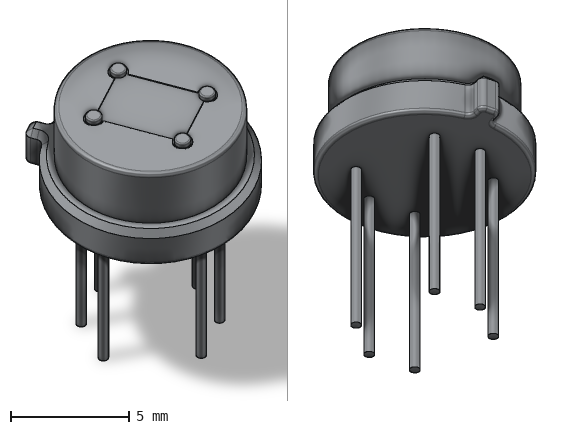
import cadquery as cq
import math

pin_length = 8.0
flange_height = 1.91
can_top = 12.8
overall_height = 13.0

flange_radius = 4.69
tab_reach = 5.51
tab_width = 1.01
tab_corner_radius = 0.305
tab_root_radius = 0.3
flange_chamfer = 0.3
flange_bottom_fillet = 0.2

can_radius = 4.07
can_fillet = 0.2

stud_radius = 0.35
stud_fillet = 0.06
window_length = 4.0
window_width = 2.99
window_depth = 0.05
ring_radius = 0.43

pin_radius = 0.228
pin_circle_radius = 2.92
pin_places = 8
empty_places = (2, 6)

flange_top = pin_length + flange_height


def make_flange():
    disc = cq.Workplane("XY").workplane(offset=pin_length).circle(flange_radius).extrude(flange_height)
    tab = (
        cq.Workplane("XY")
        .workplane(offset=pin_length)
        .rect(tab_reach, tab_width)
        .extrude(flange_height)
        .translate((-tab_reach / 2, 0, 0))
        .edges("|Z and <X")
        .fillet(tab_corner_radius)
    )
    root_x = -math.sqrt(flange_radius**2 - (tab_width / 2) ** 2)
    search_box = cq.selectors.BoxSelector(
        (root_x - 0.01, -tab_width, pin_length),
        (root_x + 0.01, tab_width, flange_top),
    )
    flange = disc.union(tab).edges("|Z").edges(search_box).fillet(tab_root_radius)
    flange = flange.faces(">Z").chamfer(flange_chamfer)
    return flange.faces("<Z").edges().fillet(flange_bottom_fillet)


def make_can():
    can = cq.Workplane("XY").workplane(offset=flange_top).circle(can_radius).extrude(can_top - flange_top)
    can = can.faces(">Z").edges().fillet(can_fillet)
    window = (
        cq.Workplane("XY")
        .workplane(offset=can_top - window_depth)
        .rect(window_length, window_width)
        .extrude(window_depth)
    )
    return can.cut(window)


def stud_cylinders(radius, bottom, top):
    return (
        cq.Workplane("XY")
        .workplane(offset=bottom)
        .rect(window_length, window_width, forConstruction=True)
        .vertices()
        .circle(radius)
        .extrude(top - bottom)
    )


def make_studs():
    studs = stud_cylinders(stud_radius, can_top - window_depth, overall_height)
    return studs.faces(">Z").edges().fillet(stud_fillet)


def make_pins():
    pitch = 360 / pin_places
    places = []
    for place in range(pin_places):
        if place not in empty_places:
            angle = math.radians((place + 0.5) * pitch)
            places.append((pin_circle_radius * math.cos(angle), pin_circle_radius * math.sin(angle)))
    return cq.Workplane("XY").pushPoints(places).circle(pin_radius).extrude(pin_length)


ring_recesses = stud_cylinders(ring_radius, can_top - window_depth, can_top)
result = make_flange().union(make_can()).cut(ring_recesses).union(make_studs()).union(make_pins())